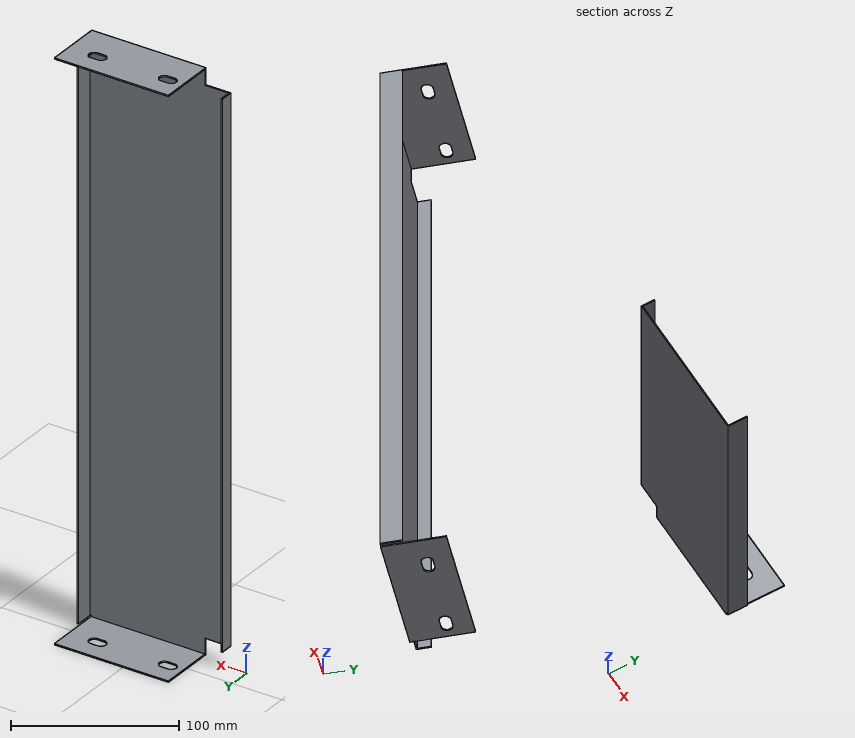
import cadquery as cq

width = 101.0
depth = 40.0
height = 401.0
thickness = 1.0

notch_width = 18.0
notch_height = 11.5

left_flange_depth = 9.2
right_flange_depth = 13.5

corner_relief = 1.5

slot_length = 12.0
slot_width = 7.2
slot_spacing = 50.0
first_slot_x = 29.0
slot_y = 24.5


def plate(x_start, x_end, y_end, z_start, z_end):
    """Box rising from the front plane y = 0 to y_end."""
    size = (x_end - x_start, y_end, z_end - z_start)
    return cq.Workplane("XY").box(*size, centered=False).translate((x_start, 0, z_start))


end_flange_right = width - corner_relief
panel = plate(notch_width, end_flange_right, thickness, 0, height)
panel = panel.union(plate(0, notch_width, thickness, notch_height, height - notch_height))

left_flange = plate(0, thickness, left_flange_depth, notch_height, height - notch_height)
right_strip = plate(end_flange_right, width, thickness, corner_relief, height - corner_relief)
right_flange = plate(width - thickness, width, right_flange_depth, corner_relief, height - corner_relief)
result = panel.union(left_flange).union(right_strip).union(right_flange)

for flange_z in (0, height - thickness):
    result = result.union(plate(notch_width, end_flange_right, depth, flange_z, flange_z + thickness))

slot_centers = [(first_slot_x, slot_y), (first_slot_x + slot_spacing, slot_y)]
slots = cq.Workplane("XY").pushPoints(slot_centers).slot2D(slot_length, slot_width).extrude(height)
result = result.cut(slots)